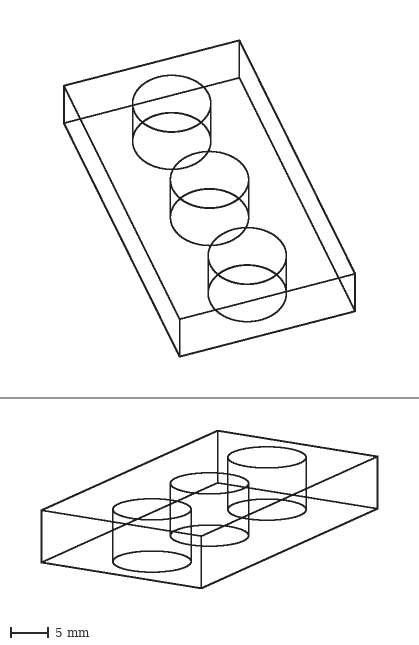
import cadquery as cq

length = 46.0
width = 25.0
thickness = 7.25

hole_count = 3
hole_diameter = 10.5
hole_pitch = 15.0

plate = cq.Workplane("XY").box(length, width, thickness)

result = (
    plate.faces(">Z")
    .workplane()
    .rarray(hole_pitch, 0.45, hole_count, 1)
    .hole(hole_diameter)
)